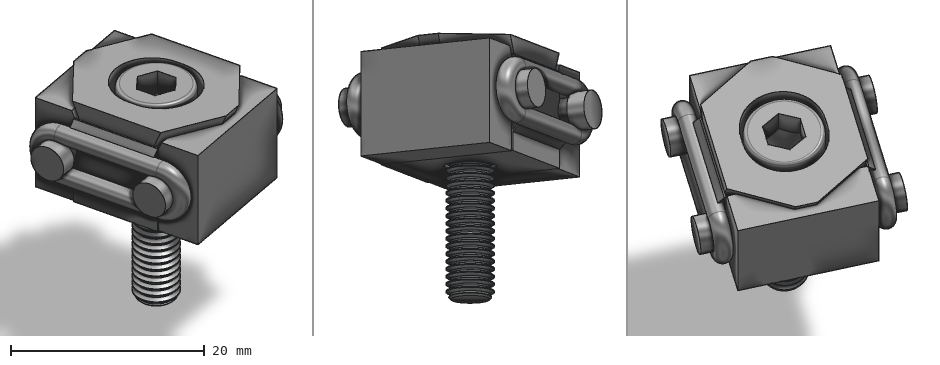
import cadquery as cq
import math


JAW_SPAN = 20.0
BODY_DEPTH = 15.0
JAW_HEIGHT = 11.0
POCKET_MOUTH = 11.05

WEDGE_RISE = 1.2
WEDGE_HEIGHT = JAW_HEIGHT
WEDGE_LENGTH = 18.75
WEDGE_SIDE = 10.85
WEDGE_TIP = 2.35
WEDGE_SLOPE = math.tan(math.radians(23))
WEDGE_TOP = JAW_HEIGHT + WEDGE_RISE
HEAD_SLOT_LENGTH = 10.0
HEAD_SLOT_WIDTH = 9.0

SCREW_LENGTH = 26.2
HEAD_RADIUS = 4.25
HEAD_HEIGHT = 5.0
HEAD_ROUNDING = 0.45
HEX_ACROSS_FLATS = 4.0
HEX_DEPTH = 2.7
HEX_CONE_ANGLE = 30
THREAD_RADIUS = 5.0 / 2
THREAD_TURNS = 17.5
THREAD_PITCH = (SCREW_LENGTH - WEDGE_TOP) / THREAD_TURNS
THREAD_DEPTH = THREAD_PITCH * 5 / 8 * math.cos(math.radians(30))
CREST_FLAT = THREAD_PITCH / 8
ROOT_FLAT = THREAD_PITCH / 4
GROOVE_COUNT = math.ceil(THREAD_TURNS)
END_CHAMFER = 0.5
CLEARANCE_HOLE_RADIUS = 2.75

GUARD_WIDTH = 10.32
SHEET = 0.2
GUARD_HEIGHT = 10.22
GUARD_Y = BODY_DEPTH / 2

PIN_X = 6.25
PIN_Z = 6.1
PIN_TIP_Y = 11.0
PIN_HEAD_LENGTH = 2.0
PIN_HEAD_RADIUS = 2.02
PIN_NECK_RADIUS = 1.47
PIN_ROOT_OVERLAP = 0.25
RING_WIRE_RADIUS = 1.0
RING_BEND_RADIUS = PIN_NECK_RADIUS + RING_WIRE_RADIUS
RING_Y = GUARD_Y + SHEET + RING_WIRE_RADIUS
TAB_OFFSET = GUARD_HEIGHT - PIN_Z


def box_between(x0, x1, y0, y1, z0, z1):
    """Box spanning the given limits."""
    return cq.Workplane("XY").box(x1 - x0, y1 - y0, z1 - z0, centered=False).translate((x0, y0, z0))


def slanted_prism(outline, side):
    """Prism with its top at the wedge top, leaning towards X = 0 with depth on the given side."""
    points = [cq.Vector(side * x, y, WEDGE_TOP) for x, y in outline]
    face = cq.Face.makeFromWires(cq.Wire.makePolygon(points, close=True))
    lean = cq.Vector(-side * WEDGE_TOP * WEDGE_SLOPE, 0, -WEDGE_TOP)
    return cq.Workplane(obj=cq.Solid.extrudeLinear(face, lean))


def wedge_flank(side):
    """Prism reaching inwards from the pointed wedge flank on one side, past the other jaw."""
    half_depth = BODY_DEPTH / 2
    return slanted_prism(
        [
            (-JAW_SPAN, -half_depth),
            (WEDGE_SIDE / 2, -half_depth),
            (WEDGE_LENGTH / 2, -WEDGE_TIP / 2),
            (WEDGE_LENGTH / 2, WEDGE_TIP / 2),
            (WEDGE_SIDE / 2, half_depth),
            (-JAW_SPAN, half_depth),
        ],
        side,
    )


def pocket_mouth(side):
    """Prism that blunts the sharp front and back corners of a jaw pocket."""
    half_depth = BODY_DEPTH / 2
    mouth_x = POCKET_MOUTH / 2 + WEDGE_RISE * WEDGE_SLOPE
    return slanted_prism(
        [
            (-JAW_SPAN, -half_depth),
            (mouth_x, -half_depth),
            (mouth_x, half_depth),
            (-JAW_SPAN, half_depth),
        ],
        side,
    )


def rod_along_y(radius, x, face, y0, y1):
    """Round rod at pin height between two distances from the middle; face is +1 back, -1 front."""
    rod = cq.Solid.makeCylinder(radius, y1 - y0, cq.Vector(x, face * y0, PIN_Z), cq.Vector(0, face, 0))
    return cq.Workplane(obj=rod)


def make_ring(face):
    """Elastic ring stretched round the two pins of one face."""
    path = (
        cq.Workplane("XZ", origin=(0, face * RING_Y, PIN_Z))
        .moveTo(-PIN_X, RING_BEND_RADIUS)
        .lineTo(PIN_X, RING_BEND_RADIUS)
        .threePointArc((PIN_X + RING_BEND_RADIUS, 0), (PIN_X, -RING_BEND_RADIUS))
        .lineTo(-PIN_X, -RING_BEND_RADIUS)
        .threePointArc((-PIN_X - RING_BEND_RADIUS, 0), (-PIN_X, RING_BEND_RADIUS))
        .close()
    )
    start = (-PIN_X, face * RING_Y, PIN_Z + RING_BEND_RADIUS)
    return cq.Workplane("YZ", origin=start).circle(RING_WIRE_RADIUS).sweep(path)


def make_pin(x, face):
    """Headed pin, starting inside the jaw so that it joins it."""
    head_y = PIN_TIP_Y - PIN_HEAD_LENGTH
    root_y = GUARD_Y - PIN_ROOT_OVERLAP
    neck = rod_along_y(PIN_NECK_RADIUS, x, face, root_y, head_y)
    return neck.union(rod_along_y(PIN_HEAD_RADIUS, x, face, head_y, PIN_TIP_Y))


def guard_strip():
    """Bottom of the guard, lying flush in the underside of the jaws."""
    half_width = GUARD_WIDTH / 2
    return box_between(-half_width, half_width, -GUARD_Y, GUARD_Y, 0, SHEET)


def make_jaw(side, rings):
    """Jaw block with the wedge pocket, a seat for the guard strip and a pin on each face."""
    outer_x = side * JAW_SPAN / 2
    half_depth = BODY_DEPTH / 2
    jaw = box_between(min(0, outer_x), max(0, outer_x), -half_depth, half_depth, 0, JAW_HEIGHT)
    jaw = jaw.cut(wedge_flank(side)).cut(pocket_mouth(side))
    jaw = jaw.cut(guard_strip())
    for face, ring in rings.items():
        jaw = jaw.union(make_pin(side * PIN_X, face).cut(ring))
    return jaw


def guard_tab(face, direction):
    """Tab bent out at 45 degrees from a guard wall towards the ring; +1 is the upper tab."""
    root_y = GUARD_Y + SHEET
    root_z = PIN_Z + direction * TAB_OFFSET
    reach = RING_Y - root_y
    edge = SHEET * math.sqrt(2)
    return (
        cq.Workplane("YZ", origin=(-GUARD_WIDTH / 2, 0, 0))
        .polyline(
            [
                (face * root_y, root_z),
                (face * RING_Y, root_z - direction * reach),
                (face * RING_Y, root_z - direction * (reach + edge)),
                (face * root_y, root_z - direction * edge),
            ]
        )
        .close()
        .extrude(GUARD_WIDTH)
    )


def make_guard(rings):
    """U-shaped sheet guard with two tabs on each wall that end on the ring."""
    half_width = GUARD_WIDTH / 2
    guard = guard_strip()
    for face, ring in rings.items():
        y0, y1 = sorted((face * GUARD_Y, face * (GUARD_Y + SHEET)))
        wall = box_between(-half_width, half_width, y0, y1, 0, GUARD_HEIGHT)
        for side in (-1, 1):
            neck = rod_along_y(PIN_NECK_RADIUS, side * PIN_X, face, GUARD_Y, GUARD_Y + SHEET)
            wall = wall.cut(neck)
        guard = guard.union(wall)
        for direction in (-1, 1):
            guard = guard.union(guard_tab(face, direction).cut(ring))
    hole = cq.Workplane("XY").circle(CLEARANCE_HOLE_RADIUS).extrude(SHEET)
    return guard.cut(hole)


def make_wedge():
    """Pointed wedge with a slotted recess for the screw head and a clearance hole below it."""
    wedge = wedge_flank(1).intersect(wedge_flank(-1))
    wedge = wedge.cut(
        box_between(-JAW_SPAN, JAW_SPAN, -BODY_DEPTH, BODY_DEPTH, 0, WEDGE_TOP - WEDGE_HEIGHT)
    )
    top = cq.Workplane("XY", origin=(0, 0, WEDGE_TOP))
    wedge = wedge.cut(top.slot2D(HEAD_SLOT_LENGTH, HEAD_SLOT_WIDTH).extrude(-HEAD_HEIGHT))
    return wedge.cut(top.circle(CLEARANCE_HOLE_RADIUS).extrude(-WEDGE_HEIGHT))


def hex_socket():
    """Hexagonal socket with a conical bottom."""
    corner_radius = HEX_ACROSS_FLATS / math.sqrt(3)
    cone_depth = corner_radius * math.tan(math.radians(HEX_CONE_ANGLE))
    top = cq.Workplane("XY", origin=(0, 0, WEDGE_TOP))
    prism = top.polygon(6, 2 * corner_radius).extrude(-HEX_DEPTH - cone_depth)
    drill = (
        cq.Workplane("XZ")
        .polyline(
            [
                (0, WEDGE_TOP),
                (corner_radius, WEDGE_TOP),
                (corner_radius, WEDGE_TOP - HEX_DEPTH),
                (0, WEDGE_TOP - HEX_DEPTH - cone_depth),
            ]
        )
        .close()
        .revolve(360, (0, 0, 0), (0, 1, 0))
    )
    return prism.intersect(drill)


def thread_groove(z):
    """Ring-shaped thread groove centred at height z."""
    root_radius = THREAD_RADIUS - THREAD_DEPTH
    mouth = THREAD_PITCH - CREST_FLAT
    return (
        cq.Workplane("XZ")
        .polyline(
            [
                (root_radius, z - ROOT_FLAT / 2),
                (THREAD_RADIUS, z - mouth / 2),
                (THREAD_RADIUS, z + mouth / 2),
                (root_radius, z + ROOT_FLAT / 2),
            ]
        )
        .close()
        .revolve(360, (0, 0, 0), (0, 1, 0))
    )


def make_screw():
    """Socket head screw, its head flush with the wedge and its thread below the jaws."""
    top = cq.Workplane("XY", origin=(0, 0, WEDGE_TOP))
    head = top.circle(HEAD_RADIUS).extrude(-HEAD_HEIGHT).faces(">Z").edges().fillet(HEAD_ROUNDING)
    shank = top.circle(THREAD_RADIUS).extrude(-SCREW_LENGTH).faces("<Z").edges().chamfer(END_CHAMFER)
    for index in range(GROOVE_COUNT):
        shank = shank.cut(thread_groove(-index * THREAD_PITCH))
    return shank.union(head).cut(hex_socket())


rings = {face: make_ring(face) for face in (-1, 1)}
jaws = [make_jaw(side, rings) for side in (-1, 1)]
guard = make_guard(rings)
wedge = make_wedge()
screw = make_screw()

result = cq.Compound.makeCompound(
    [
        *[jaw.solids().val() for jaw in jaws],
        *[ring.val() for ring in rings.values()],
        guard.solids().val(),
        wedge.solids().val(),
        screw.solids().val(),
    ]
)